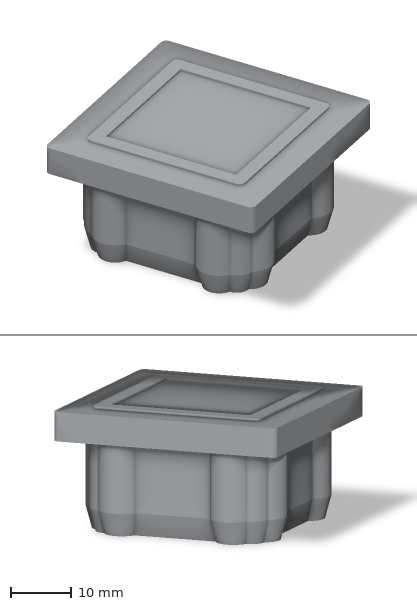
import cadquery as cq
import math

plate_side = 40.0
plate_height = 5.0
corner_radius = 1.0

rim_side = 30.0
rim_height = 0.4
window_side = 25.0

body_half = 16.0
lobe_inner = 6.7
lobe_outer = 13.3
lobe_rise = 1.8
corner_rise = 0.6
straight_height = 12.0
taper_height = 4.0
taper_angle = 15.0
taper_inset = taper_height * math.tan(math.radians(taper_angle))


def arc_radius(chord, rise):
    """Radius of an arc from its chord and its height above that chord."""
    return (chord ** 2 / 4 + rise ** 2) / (2 * rise)


lobe_radius = arc_radius(lobe_outer - lobe_inner, lobe_rise)
lobe_along = (lobe_inner + lobe_outer) / 2
lobe_across = body_half + lobe_rise - lobe_radius

corner_cut = body_half - lobe_outer
corner_post_radius = arc_radius(corner_cut * math.sqrt(2), corner_rise)
corner_center = (body_half + lobe_outer) / 2 + (corner_rise - corner_post_radius) / math.sqrt(2)


def square_slab(side, height, base_z):
    """Square slab with rounded vertical edges."""
    slab = cq.Workplane("XY").workplane(offset=base_z).rect(side, side).extrude(height)
    return slab.edges("|Z").fillet(corner_radius)


def tapered_post(center, radius):
    """Round post, straight at first and then narrowing to its lower end."""
    section = [
        (0, 0),
        (radius, 0),
        (radius, -straight_height),
        (radius - taper_inset, -straight_height - taper_height),
        (0, -straight_height - taper_height),
    ]
    post = cq.Workplane("XZ").polyline(section).close().revolve(360, (0, 0), (0, 1))
    return post.translate((*center, 0))


def tapered_square(half_side):
    """Square block, straight at first and then narrowing on every side to its lower end."""
    side = 2 * half_side
    straight = cq.Workplane("XY").rect(side, side).extrude(-straight_height)
    tapered = (
        cq.Workplane("XY")
        .workplane(offset=-straight_height)
        .rect(side, side)
        .extrude(-taper_height, taper=taper_angle)
    )
    return straight.union(tapered)


def body_core():
    """Square core whose corners are cut by a second square turned 45 degrees."""
    corner_cutter = tapered_square((body_half + lobe_outer) / math.sqrt(2))
    corner_cutter = corner_cutter.rotate((0, 0, 0), (0, 0, 1), 45)
    return tapered_square(body_half).intersect(corner_cutter)


def lobed_body():
    """Core with two lobes on every side and a rounded post in every corner."""
    body = body_core()
    posts = [
        ((lobe_along, lobe_across), lobe_radius),
        ((lobe_across, lobe_along), lobe_radius),
        ((corner_center, corner_center), corner_post_radius),
    ]
    for x_sign in (-1, 1):
        for y_sign in (-1, 1):
            for (x, y), radius in posts:
                body = body.union(tapered_post((x_sign * x, y_sign * y), radius))
    return body


plate = square_slab(plate_side, plate_height, 0)
rim = square_slab(rim_side, rim_height, plate_height)
window = (
    cq.Workplane("XY")
    .workplane(offset=plate_height)
    .rect(window_side, window_side)
    .extrude(rim_height)
)

result = plate.union(rim.cut(window)).union(lobed_body())